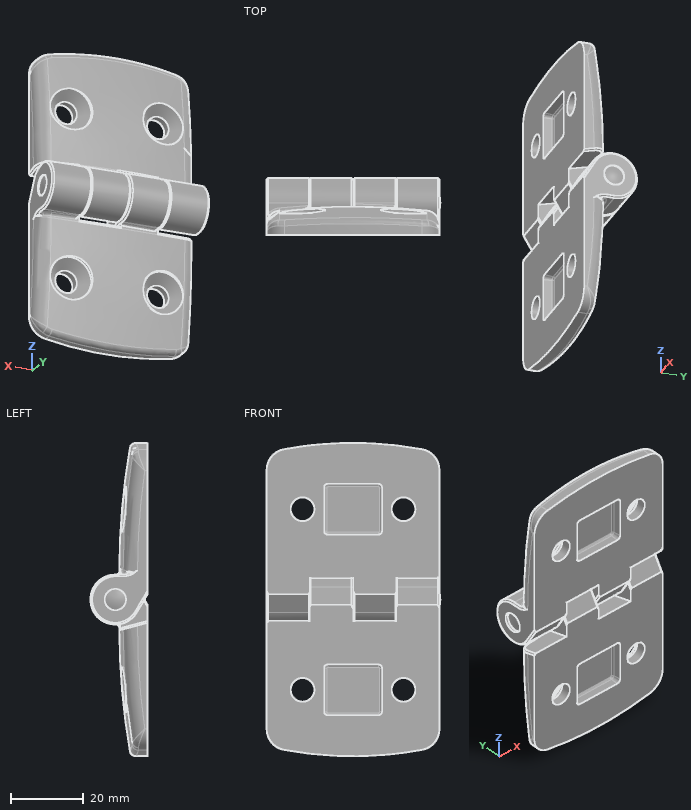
import cadquery as cq
import math

leaf_width = 48.0
leaf_reach = 43.5
half_width = leaf_width / 2
end_bulge = 2.8
corner_radius = 6.0
back_height = 7.9
dome_radius = 200.1
dome_center_z = 7.8
side_rounding = 4.0
dome_sector = 40.0
end_rounding = 1.7

axis_height = 9.0
knuckle_radius = 7.0
knuckle_count = 4
knuckle_length = leaf_width / knuckle_count
outer_chamfer = 0.5
inner_chamfer = 0.305
tangent_start_z = 1.5
root_flat_y = 6.7
root_y = 3.8
root_z = 8.0
web_bottom_z = 5.2
web_height = 3.5
web_fillet = 0.8
tolerance = 0.01

clearance_z = 5.9
clearance_angle = 15.0
clearance_chamfer = 0.5

feature_z = 25.05
hole_spacing = 28.0
hole_diameter = 6.5
countersink_diameter = 12.5
countersink_angle = 90.0
bore_depth = 3.05
pocket_width = 16.1
pocket_height = 14.1
pocket_depth = 3.0
pocket_corner = 1.05
pocket_taper = 5.0
pocket_floor_fillet = 0.5

pin_diameter = 5.9
pin_length = 48.0
pin_offset = 0.3
pin_dome_height = 0.6


def outline_block():
    """Leaf outline with a curved end and rounded outer corners, standing on the mounting face."""
    shoulder_z = leaf_reach - end_bulge
    return (
        cq.Workplane("XZ")
        .moveTo(-half_width, 0)
        .lineTo(-half_width, shoulder_z)
        .threePointArc((0, leaf_reach), (half_width, shoulder_z))
        .lineTo(half_width, 0)
        .close()
        .extrude(-2 * back_height)
        .edges("|Y")
        .edges(">Z")
        .fillet(corner_radius)
    )


def dome():
    """Crowned cross-section with rounded sides, revolved about an X-parallel axis."""
    axis_y = back_height - dome_radius
    rounding_x = half_width - side_rounding
    slope = math.asin(rounding_x / (dome_radius - side_rounding))
    rounding_y = axis_y + (dome_radius - side_rounding) * math.cos(slope)
    crown_x = dome_radius * math.sin(slope)
    crown_y = axis_y + dome_radius * math.cos(slope)
    base_y = -back_height
    return (
        cq.Workplane("XY", origin=(0, 0, dome_center_z))
        .moveTo(-half_width, base_y)
        .lineTo(-half_width, rounding_y)
        .radiusArc((-crown_x, crown_y), side_rounding)
        .threePointArc((0, back_height), (crown_x, crown_y))
        .radiusArc((half_width, rounding_y), side_rounding)
        .lineTo(half_width, base_y)
        .close()
        .revolve(dome_sector, (0, axis_y, 0), (1, axis_y, 0))
        .rotate((0, axis_y, dome_center_z), (1, axis_y, dome_center_z), -dome_sector / 2)
    )


def knuckle_outline():
    """YZ outline: round eye, slanted face tangent to it, and a concave root under the plate."""
    start_distance = math.hypot(axis_height, tangent_start_z)
    touch_angle = (
        math.pi
        + math.atan2(-tangent_start_z, axis_height)
        + math.acos(knuckle_radius / start_distance)
    )
    touch_point = (
        axis_height + knuckle_radius * math.cos(touch_angle),
        knuckle_radius * math.sin(touch_angle),
    )
    rise = root_z - knuckle_radius
    root_radius = ((root_flat_y - root_y) ** 2 + rise**2) / (2 * rise)
    return (
        cq.Workplane("YZ")
        .moveTo(0, tangent_start_z)
        .lineTo(*touch_point)
        .threePointArc((axis_height + knuckle_radius, 0), (axis_height, knuckle_radius))
        .lineTo(root_flat_y, knuckle_radius)
        .radiusArc((root_y, root_z), root_radius)
        .lineTo(0, root_z)
        .close()
    )


def is_free_rim(edge):
    """True for knuckle rim edges away from the mounting face and the plate."""
    center = edge.Center()
    return center.y > tolerance and center.z < root_z - tolerance


def knuckle():
    """One knuckle from x = 0, with a larger chamfer on its -X end."""
    body = knuckle_outline().extrude(knuckle_length)
    body = body.faces("<X").edges().filter(is_free_rim).chamfer(outer_chamfer)
    return body.faces(">X").edges().filter(is_free_rim).chamfer(inner_chamfer)


def knuckle_positions():
    """Left ends of the upper leaf's knuckles: every second one, from the -X side."""
    return [-half_width + i * knuckle_length for i in range(0, knuckle_count, 2)]


def clearance_cutter():
    """Everything below the sloped clearance face."""
    slope = math.tan(math.radians(clearance_angle))
    reach = 2 * back_height
    return (
        cq.Workplane("YZ", origin=(-half_width, 0, 0))
        .moveTo(0, 0)
        .lineTo(0, clearance_z)
        .lineTo(reach, clearance_z + reach * slope)
        .lineTo(reach, 0)
        .close()
        .extrude(leaf_width)
    )


def domed_block():
    """Leaf outline under its domed back, with the outer rim still sharp."""
    return outline_block().intersect(dome())


def is_outer_rim(edge):
    """True for the edges where the dome meets the curved end and the rounded corners."""
    center = edge.Center()
    in_end_zone = center.z > leaf_reach - end_bulge - corner_radius
    return edge.geomType() == "BSPLINE" and in_end_zone and center.y > tolerance


def plate():
    """Domed plate with a rounded outer rim and a chamfered clearance face."""
    block = domed_block().edges().filter(is_outer_rim).fillet(end_rounding)
    block = block.cut(clearance_cutter())
    clearance_rim = block.faces("<Z").edges().filter(lambda e: e.Center().y > tolerance)
    return clearance_rim.chamfer(clearance_chamfer)


def screw_hole(x):
    """Through hole with a conical screw seat and a cylindrical mouth opening on the back."""
    radius = hole_diameter / 2
    sink_radius = countersink_diameter / 2
    sink_depth = (sink_radius - radius) / math.tan(math.radians(countersink_angle / 2))
    sink_y = bore_depth + sink_depth
    return (
        cq.Workplane("XY")
        .lineTo(radius, 0)
        .lineTo(radius, bore_depth)
        .lineTo(sink_radius, sink_y)
        .lineTo(sink_radius, back_height)
        .lineTo(0, back_height)
        .close()
        .revolve(360, (0, 0, 0), (0, 1, 0))
        .translate((x, 0, feature_z))
    )


def pocket():
    """Tapered rectangular recess in the mounting face."""
    return (
        cq.Workplane("XZ", origin=(0, 0, feature_z))
        .sketch()
        .rect(pocket_width, pocket_height)
        .vertices()
        .fillet(pocket_corner)
        .finalize()
        .extrude(-pocket_depth, taper=pocket_taper)
        .faces(">Y")
        .edges()
        .fillet(pocket_floor_fillet)
    )


def web(x):
    """Plate material carried down into the root of the knuckle whose left end is at x."""
    length = knuckle_length - outer_chamfer
    root = cq.Workplane("XY", origin=(x + outer_chamfer, 0, web_bottom_z)).box(
        length, back_height, web_height, centered=False
    )
    return root.intersect(domed_block())


def is_web_corner(edge):
    """True for the inner corner where a knuckle's top and root run into the domed back."""
    center = edge.Center()
    along_knuckle = edge.BoundingBox().xlen > outer_chamfer
    curved = edge.geomType() != "LINE"
    root_rise = root_z - knuckle_radius
    near_top = abs(center.z - knuckle_radius) < root_rise / 6 and root_y < center.y < axis_height
    return along_knuckle and curved and near_top


def pin_bore():
    """Hole for the pin through all of the knuckles."""
    start = (-half_width, axis_height, 0)
    return cq.Workplane("YZ", origin=start).circle(pin_diameter / 2).extrude(leaf_width)


def make_leaf():
    """Upper hinge leaf: plate, two knuckles, pin bore, pocket and two screw holes."""
    leaf = plate()
    for x in knuckle_positions():
        leaf = leaf.union(knuckle().translate((x, 0, 0)))
        leaf = leaf.union(web(x))
    leaf = leaf.edges().filter(is_web_corner).fillet(web_fillet)
    leaf = leaf.cut(pin_bore()).cut(pocket())
    for x in (-hole_spacing / 2, hole_spacing / 2):
        leaf = leaf.cut(screw_hole(x))
    return leaf


def pin_dome_point(apex, direction):
    """Point halfway along the pin's end dome."""
    radius = pin_diameter / 2
    sphere = (radius**2 + pin_dome_height**2) / (2 * pin_dome_height)
    half_angle = math.asin(radius / sphere) / 2
    return (apex + direction * sphere * (1 - math.cos(half_angle)), sphere * math.sin(half_angle))


def make_pin():
    """Hinge pin with shallow domed ends, revolved about its own axis."""
    left = -pin_length / 2 + pin_offset
    right = left + pin_length
    radius = pin_diameter / 2
    return (
        cq.Workplane("XY", origin=(0, axis_height, 0))
        .moveTo(left, 0)
        .lineTo(right, 0)
        .threePointArc(pin_dome_point(right, -1), (right - pin_dome_height, radius))
        .lineTo(left + pin_dome_height, radius)
        .threePointArc(pin_dome_point(left, 1), (left, 0))
        .close()
        .revolve(360, (0, 0, 0), (1, 0, 0))
    )


upper_leaf = make_leaf()
lower_leaf = upper_leaf.rotate((0, 0, 0), (0, 1, 0), 180)
pin = make_pin()

result = cq.Compound.makeCompound([upper_leaf.val(), lower_leaf.val(), pin.val()])